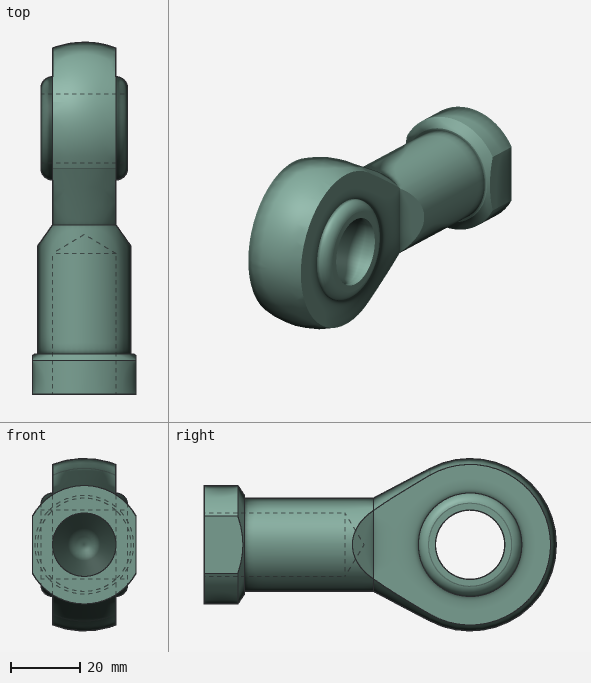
import cadquery as cq
import math

eye_radius = 25.0
eye_thickness = 18.4
total_length = 102.0
shank_end = eye_radius - total_length

shank_radius = 27.0 / 2
shoulder_y = -27.9
shoulder_bevel_length = 6.1

collar_radius = 34.3 / 2
collar_flat_width = 30.0
collar_length = 11.7
collar_bevel_length = 1.9
collar_bevel_radius = 14.3

socket_diameter = 18.4
socket_depth = 40.8
drill_point_angle = 118.0

ball_bore_diameter = 20.0
ball_diameter = 30.0
ball_width = 25.1
ball_face_diameter = 24.1
ball_rim_radius = 3.5

shoulder_distance = math.hypot(shank_radius, shoulder_y)
tangent_angle = math.atan2(shank_radius, shoulder_y) - math.acos(eye_radius / shoulder_distance)
neck_radius = eye_radius * math.sin(tangent_angle)
neck_y = eye_radius * math.cos(tangent_angle)


def revolve_about_y(profile):
    return profile.close().revolve(360, (0, 0, 0), (0, 1, 0))


def make_blank():
    """Spherical eye, conical neck and shank as one revolved body."""
    mid_angle = tangent_angle / 2
    arc_middle = (eye_radius * math.sin(mid_angle), eye_radius * math.cos(mid_angle))
    return revolve_about_y(
        cq.Workplane("XY")
        .moveTo(0, shank_end)
        .lineTo(shank_radius, shank_end)
        .lineTo(shank_radius, shoulder_y)
        .lineTo(neck_radius, neck_y)
        .threePointArc(arc_middle, (0, eye_radius))
    )


def make_side_cut():
    """Material beside the right-hand eye face, with the sloping shoulder."""
    face_x = eye_thickness / 2
    outer_x = eye_radius + 1
    bevel_slope = shoulder_bevel_length / (shank_radius - face_x)
    outer_y = shoulder_y - bevel_slope * (outer_x - face_x)
    return (
        cq.Workplane("XY")
        .moveTo(face_x, outer_x)
        .lineTo(face_x, shoulder_y)
        .lineTo(outer_x, outer_y)
        .lineTo(outer_x, outer_x)
        .close()
        .extrude(outer_x, both=True)
    )


def make_collar():
    """Bevelled round collar with two wrench flats."""
    inner_y = shank_end + collar_length
    collar = revolve_about_y(
        cq.Workplane("XY")
        .moveTo(0, shank_end)
        .lineTo(collar_radius, shank_end)
        .lineTo(collar_radius, inner_y - collar_bevel_length)
        .lineTo(collar_bevel_radius, inner_y)
        .lineTo(0, inner_y)
    )
    flats = cq.Workplane("XY").box(collar_flat_width, 2 * total_length, 2 * collar_radius)
    return collar.intersect(flats)


def make_socket():
    """Blind hole with a drill point."""
    radius = socket_diameter / 2
    bottom_y = shank_end + socket_depth
    point_depth = radius / math.tan(math.radians(drill_point_angle / 2))
    return revolve_about_y(
        cq.Workplane("XY")
        .moveTo(0, shank_end)
        .lineTo(radius, shank_end)
        .lineTo(radius, bottom_y)
        .lineTo(0, bottom_y + point_depth)
    )


def make_ball():
    """Bearing ring whose rounded rims rise from both eye faces."""
    face_x = eye_thickness / 2
    end_x = ball_width / 2
    outer_radius = ball_diameter / 2
    end_radius = ball_face_diameter / 2
    return (
        cq.Workplane("XY")
        .moveTo(-end_x, 0)
        .lineTo(-end_x, end_radius)
        .radiusArc((-face_x, outer_radius), ball_rim_radius)
        .lineTo(face_x, outer_radius)
        .radiusArc((end_x, end_radius), ball_rim_radius)
        .lineTo(end_x, 0)
        .close()
        .revolve(360, (0, 0, 0), (1, 0, 0))
    )


def make_ball_bore():
    return cq.Workplane("YZ").circle(ball_bore_diameter / 2).extrude(ball_width, both=True)


right_cut = make_side_cut()
left_cut = right_cut.mirror("YZ")
body = make_blank().cut(right_cut).cut(left_cut)
body = body.union(make_collar()).union(make_ball())
result = body.cut(make_socket()).cut(make_ball_bore())